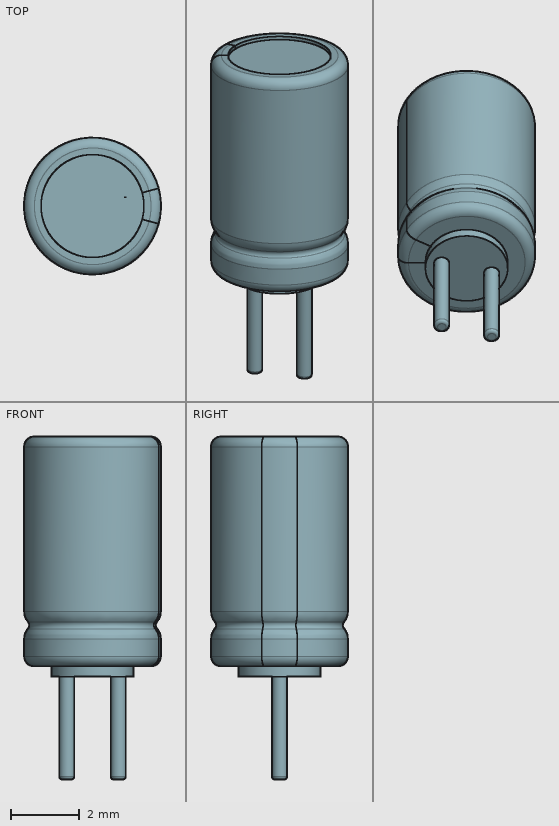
import cadquery as cq
import math


total_height = 10.0
can_radius = 2.0
rim_fillet = 0.3
stripe_angle = 30.0

pin_diameter = 0.45
pin_spacing = 1.5
pin_length = 3.0
pin_tip_fillet = 0.1

seal_diameter = 2.4
seal_height = 0.3

disc_radius = 1.5
disc_thickness = 0.1
disc_depth = 0.1

groove_depth = 0.15
groove_height = 0.8
groove_throat_height = 0.2
groove_offset = 1.2

can_bottom = pin_length + seal_height
groove_middle = can_bottom + groove_offset
disc_bottom = total_height - disc_depth - disc_thickness

groove_turn = 2 * math.atan(groove_depth / (groove_height / 2))
throat_radius = groove_throat_height / 2 / math.sin(groove_turn)
shoulder_radius = groove_height / 2 / math.sin(groove_turn) - throat_radius
groove_floor = can_radius - groove_depth


def throat_point(side):
    """Where the concave arc meets the lower (-1) or upper (+1) shoulder."""
    radius = groove_floor + throat_radius * (1 - math.cos(groove_turn))
    return radius, groove_middle + side * groove_throat_height / 2


def shoulder_middle(side):
    """Middle point of the lower (-1) or upper (+1) shoulder arc."""
    half_turn = groove_turn / 2
    radius = can_radius - shoulder_radius * (1 - math.cos(half_turn))
    rise = groove_height / 2 - shoulder_radius * math.sin(half_turn)
    return radius, groove_middle + side * rise


def can_sector(start_angle, sweep_angle):
    """Sector of the can around Z, with rounded rims, a groove and a top recess."""
    rim_center = can_radius - rim_fillet
    rim_diagonal = rim_fillet * math.sqrt(0.5)
    profile = (
        cq.Workplane("XZ")
        .moveTo(0, can_bottom)
        .lineTo(rim_center, can_bottom)
        .threePointArc(
            (rim_center + rim_diagonal, can_bottom + rim_fillet - rim_diagonal),
            (can_radius, can_bottom + rim_fillet),
        )
        .lineTo(can_radius, groove_middle - groove_height / 2)
        .threePointArc(shoulder_middle(-1), throat_point(-1))
        .threePointArc((groove_floor, groove_middle), throat_point(1))
        .threePointArc(shoulder_middle(1), (can_radius, groove_middle + groove_height / 2))
        .lineTo(can_radius, total_height - rim_fillet)
        .threePointArc(
            (rim_center + rim_diagonal, total_height - rim_fillet + rim_diagonal),
            (rim_center, total_height),
        )
        .lineTo(disc_radius, total_height)
        .lineTo(disc_radius, disc_bottom)
        .lineTo(0, disc_bottom)
        .close()
    )
    sector = profile.revolve(sweep_angle, (0, 0, 0), (0, 1, 0))
    return sector.rotate((0, 0, 0), (0, 0, 1), start_angle)


def make_disc():
    """Flat disc in the recess at the top of the can."""
    return cq.Workplane("XY").workplane(offset=disc_bottom).circle(disc_radius).extrude(disc_thickness)


def make_seal():
    """Round seal under the can, which carries the pins."""
    return cq.Workplane("XY").workplane(offset=pin_length).circle(seal_diameter / 2).extrude(seal_height)


def make_pin(x):
    """Straight pin under the seal with a rounded tip."""
    pin = cq.Workplane("XY").center(x, 0).circle(pin_diameter / 2).extrude(pin_length)
    return pin.faces("<Z").edges().fillet(pin_tip_fillet)


stripe = can_sector(-stripe_angle / 2, stripe_angle)
can = can_sector(stripe_angle / 2, 360 - stripe_angle)
disc = make_disc()
seal = make_seal()
pins = [make_pin(side * pin_spacing / 2).val() for side in (-1, 1)]

result = cq.Compound.makeCompound([can.val(), stripe.val(), disc.val(), seal.val(), *pins])